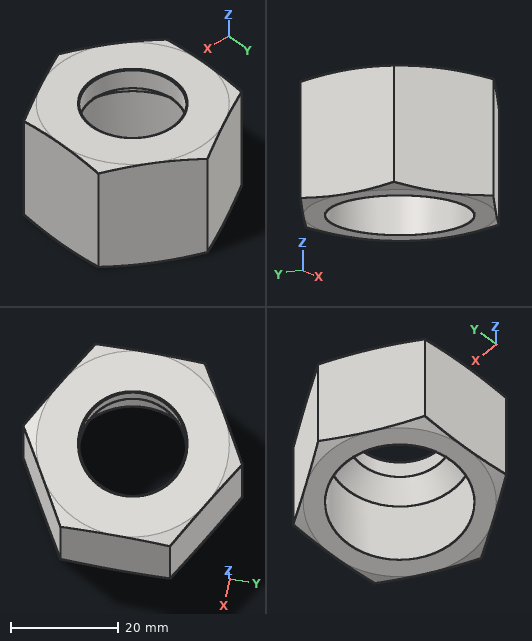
import cadquery as cq
import math

across_flats = 36.0
height = 24.0
side_count = 6
across_corners = across_flats / math.cos(math.pi / side_count)
corner_chamfer_angle = 15.0

bore_diameter = 20.0
bore_end_depth = 4.5
rim_chamfer = 0.2
wide_bore_diameter = 27.84
seat_half_angle = 45.0


def hex_body():
    """Hexagonal prism with two corners on the Y axis."""
    return (
        cq.Workplane("XY")
        .polygon(side_count, across_corners)
        .extrude(height)
        .rotate((0, 0, 0), (0, 0, 1), 90)
    )


def corner_chamfer_envelope():
    """Solid of revolution that trims the hexagon corners conically at both ends."""
    face_radius = across_flats / 2
    corner_radius = across_corners / 2
    corner_drop = (corner_radius - face_radius) * math.tan(math.radians(corner_chamfer_angle))
    profile = [
        (0, 0),
        (face_radius, 0),
        (corner_radius, corner_drop),
        (corner_radius, height - corner_drop),
        (face_radius, height),
        (0, height),
    ]
    return cq.Workplane("XZ").polyline(profile).close().revolve(360, (0, 0), (0, 1))


def stepped_bore():
    """Through hole: chamfered rim, bore, conical seat and wide lower bore."""
    bore_radius = bore_diameter / 2
    wide_radius = wide_bore_diameter / 2
    seat_height = (wide_radius - bore_radius) / math.tan(math.radians(seat_half_angle))
    seat_top = height - bore_end_depth
    profile = [
        (0, 0),
        (wide_radius, 0),
        (wide_radius, seat_top - seat_height),
        (bore_radius, seat_top),
        (bore_radius, height - rim_chamfer),
        (bore_radius + rim_chamfer, height),
        (0, height),
    ]
    return cq.Workplane("XZ").polyline(profile).close().revolve(360, (0, 0), (0, 1))


result = hex_body().intersect(corner_chamfer_envelope()).cut(stepped_bore())